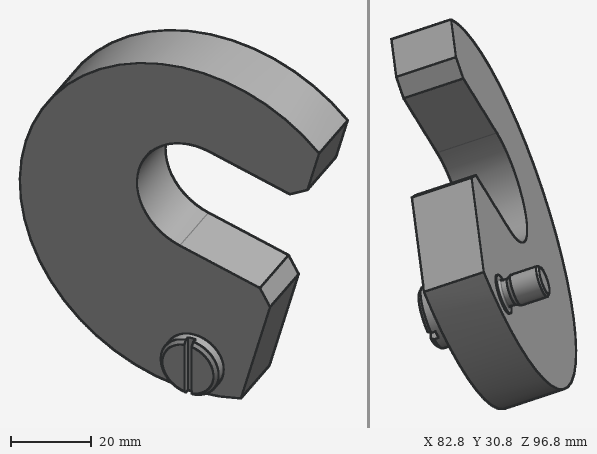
import cadquery as cq
import math

disc_radius = 48.4
plate_thickness = 16.0

slot_radius = 16.0
slot_center_z = 9.7
slot_angle = 15.0
end_distance = 26.9
mouth_chamfer = 4.0
cut_size = 2 * disc_radius

screw_z = -39.4
head_radius = 8.0
head_height = 3.8
head_chamfer = 1.0
driver_slot_width = 2.0
driver_slot_depth = 2.1
collar_radius = 5.0
collar_projection = 0.3
neck_radius = 3.4
neck_fillet = 0.6
neck_end = 2.3
thread_start = 3.5
thread_end = 11.0
thread_radius = 4.02
tip_chamfer = 0.6


def make_plate():
    disc = cq.Workplane("XZ").circle(disc_radius).extrude(-plate_thickness)
    mouth_half_width = slot_radius + mouth_chamfer
    opening = (
        cq.Workplane("XZ")
        .moveTo(0, slot_radius)
        .lineTo(end_distance - mouth_chamfer, slot_radius)
        .lineTo(end_distance, mouth_half_width)
        .lineTo(end_distance, cut_size)
        .lineTo(cut_size, cut_size)
        .lineTo(cut_size, -cut_size)
        .lineTo(end_distance, -cut_size)
        .lineTo(end_distance, -mouth_half_width)
        .lineTo(end_distance - mouth_chamfer, -slot_radius)
        .lineTo(0, -slot_radius)
        .threePointArc((-slot_radius, 0), (0, slot_radius))
        .close()
        .extrude(-plate_thickness)
        .rotate((0, 0, 0), (0, 1, 0), slot_angle)
        .translate((0, 0, slot_center_z))
    )
    return disc.cut(opening)


def make_screw():
    rear = plate_thickness
    collar_face = rear + collar_projection
    fillet_mid = neck_fillet * (1 - math.sqrt(0.5))
    screw = (
        cq.Workplane("XY")
        .moveTo(0, -head_height)
        .lineTo(head_radius - head_chamfer, -head_height)
        .lineTo(head_radius, head_chamfer - head_height)
        .lineTo(head_radius, 0)
        .lineTo(collar_radius, 0)
        .lineTo(collar_radius, collar_face)
        .lineTo(neck_radius + neck_fillet, collar_face)
        .threePointArc(
            (neck_radius + fillet_mid, collar_face + fillet_mid),
            (neck_radius, collar_face + neck_fillet),
        )
        .lineTo(neck_radius, rear + neck_end)
        .lineTo(thread_radius, rear + thread_start)
        .lineTo(thread_radius, rear + thread_end - tip_chamfer)
        .lineTo(thread_radius - tip_chamfer, rear + thread_end)
        .lineTo(0, rear + thread_end)
        .close()
        .revolve(360, (0, 0, 0), (0, 1, 0))
    )
    driver_slot = cq.Workplane("XY").box(
        driver_slot_width, driver_slot_depth, 2 * head_radius
    ).translate((0, driver_slot_depth / 2 - head_height, 0))
    return screw.cut(driver_slot).translate((0, 0, screw_z))


result = make_plate().union(make_screw())